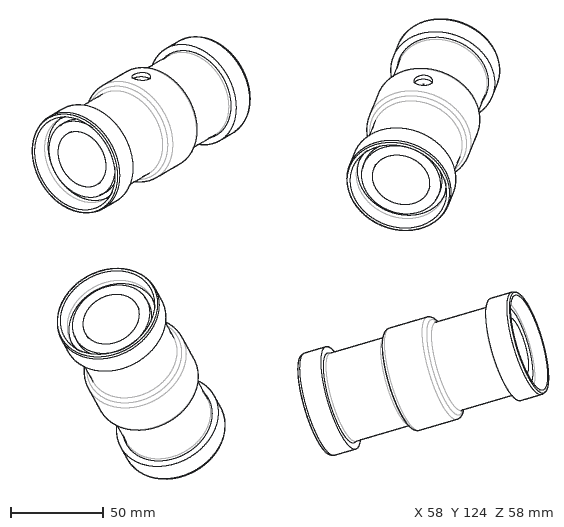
import cadquery as cq

length = 124.0
outer_diameter = 58.0
tube_diameter = 50.0
bore_diameter = 32.0

collar_length = 13.8
collar_root_length = 1.4
collar_root_height = 0.5
rim_chamfer_length = 1.4
rim_chamfer_depth = 0.5

mouth_diameter = 53.7
mouth_floor_diameter = 50.0
seat_diameter = 44.0
seat_depth = 6.7
groove_depth = 3.2

band_shoulder_length = 3.8
band_flat_length = 22.1

recess_diameter = 10.0
recess_depth = 2.6
pinhole_diameter = 0.5

half_length = length / 2
outer_radius = outer_diameter / 2
tube_radius = tube_diameter / 2
mouth_floor_radius = mouth_floor_diameter / 2


def cylinder(diameter, start, end):
    """Solid cylinder on the Y axis between two Y positions."""
    plane = cq.Workplane("XZ", origin=(0, end, 0))
    return plane.circle(diameter / 2).extrude(end - start)


def neck():
    """Ring removed between the band and the +Y collar, leaving the tube wall."""
    collar_start = half_length - collar_length
    shoulder_start = band_flat_length / 2
    shoulder_end = shoulder_start + band_shoulder_length
    shoulder_middle = (shoulder_start + shoulder_end) / 2
    shoulder_middle_radius = (outer_radius + tube_radius) / 2
    collar_root_radius = (collar_root_length**2 + collar_root_height**2) / (2 * collar_root_height)
    return (
        cq.Workplane("XY")
        .moveTo(outer_radius, collar_start)
        .lineTo(tube_radius + collar_root_height, collar_start)
        .radiusArc((tube_radius, collar_start - collar_root_length), -collar_root_radius)
        .lineTo(tube_radius, shoulder_end)
        .tangentArcPoint((shoulder_middle_radius, shoulder_middle), relative=False)
        .tangentArcPoint((outer_radius, shoulder_start), relative=False)
        .close()
        .revolve(360, (0, 0, 0), (0, 1, 0))
    )


def outer_body():
    """Outer cylinder with chamfered rims and a neck on each side of the band."""
    body = cylinder(outer_diameter, -half_length, half_length)
    body = body.faces("<Y").chamfer(rim_chamfer_length, rim_chamfer_depth)
    body = body.faces(">Y").chamfer(rim_chamfer_length, rim_chamfer_depth)
    end_neck = neck()
    return body.cut(end_neck).cut(end_neck.mirror("XZ"))


def mouth():
    """Material removed at the +Y end: tapered mouth and groove around the seat."""
    seat_y = half_length - seat_depth
    groove_floor_y = seat_y - groove_depth
    taper = (
        cq.Workplane("XY")
        .moveTo(0, seat_y)
        .lineTo(mouth_floor_radius, seat_y)
        .lineTo(mouth_diameter / 2, half_length)
        .lineTo(0, half_length)
        .close()
        .revolve(360, (0, 0, 0), (0, 1, 0))
    )
    groove = cylinder(mouth_floor_diameter, groove_floor_y, seat_y)
    groove = groove.cut(cylinder(seat_diameter, groove_floor_y, seat_y))
    return taper.union(groove)


def top_recess():
    """Shallow round recess with a central pinhole reaching the bore."""
    recess_floor = cq.Workplane("XY", origin=(0, 0, outer_radius - recess_depth))
    recess = recess_floor.circle(recess_diameter / 2).extrude(recess_depth)
    pinhole = cq.Workplane("XY").circle(pinhole_diameter / 2).extrude(outer_radius)
    return recess.union(pinhole)


end_mouth = mouth()
result = (
    outer_body()
    .cut(cylinder(bore_diameter, -half_length, half_length))
    .cut(end_mouth)
    .cut(end_mouth.mirror("XZ"))
    .cut(top_recess())
)